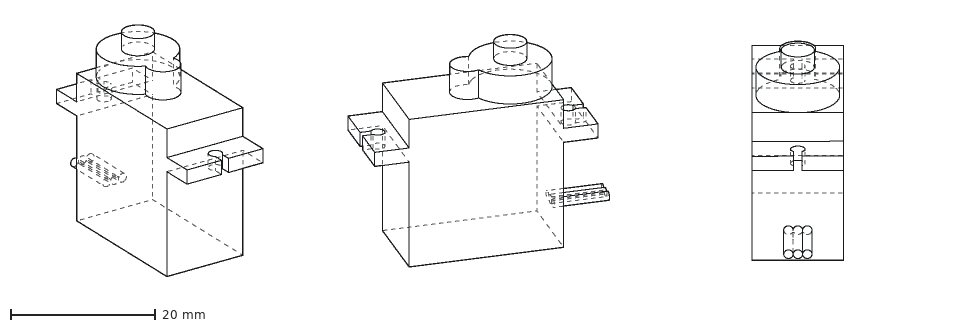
import cadquery as cq

case_length = 22.4
case_width = 12.7
case_height = 22.5

tab_length = 5.0
tab_thickness = 2.15
tab_bottom = 16.0
screw_hole_diameter = 2.02
screw_hole_inset = 2.37
screw_slot_width = 1.17

gear_housing_diameter = 11.6
gear_housing_height = 4.3
gear_housing_x = gear_housing_diameter / 2
small_housing_diameter = 5.0
small_housing_x = 12.0
shaft_diameter = 4.6
shaft_height = 2.62

wire_count = 3
wire_diameter = 1.3
wire_height = 4.6
total_length = 35.4
wire_length = total_length - case_length - tab_length
wire_embed = 0.35


def upright_cylinder(x, bottom, diameter, height):
    """Vertical cylinder centred on the plane Y = 0."""
    return cq.Workplane("XY", origin=(x, 0, bottom)).circle(diameter / 2).extrude(height)


def block(start_x, length, width, bottom, height):
    """Box centred on the plane Y = 0."""
    return (
        cq.Workplane("XY", origin=(start_x, 0, bottom))
        .rect(length, width)
        .extrude(height)
        .translate((length / 2, 0, 0))
    )


def screw_opening(hole_x, slot_start_x):
    """Screw hole with a slot out through the free end of a tab."""
    hole = upright_cylinder(hole_x, tab_bottom, screw_hole_diameter, tab_thickness)
    slot = block(slot_start_x, screw_hole_inset, screw_slot_width, tab_bottom, tab_thickness)
    return hole.union(slot)


tab_left = -tab_length
tab_right = case_length + tab_length
body = block(0, case_length, case_width, 0, case_height)
body = body.union(block(tab_left, tab_right - tab_left, case_width, tab_bottom, tab_thickness))

left_hole_x = tab_left + screw_hole_inset
right_hole_x = tab_right - screw_hole_inset
body = body.cut(screw_opening(left_hole_x, tab_left))
body = body.cut(screw_opening(right_hole_x, right_hole_x))

housing_top = case_height + gear_housing_height
for x, diameter in (
    (gear_housing_x, gear_housing_diameter),
    (small_housing_x, small_housing_diameter),
):
    body = body.union(upright_cylinder(x, case_height, diameter, gear_housing_height))
body = body.union(upright_cylinder(gear_housing_x, housing_top, shaft_diameter, shaft_height))

for index in range(wire_count):
    wire_y = (index - (wire_count - 1) / 2) * wire_diameter
    wire = (
        cq.Workplane("YZ", origin=(-wire_length, wire_y, wire_height))
        .circle(wire_diameter / 2)
        .extrude(wire_length + wire_embed)
    )
    body = body.union(wire)

result = body